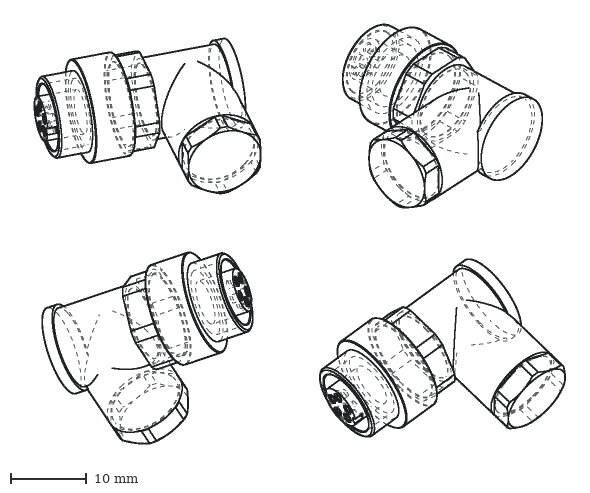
import cadquery as cq
import math


BODY_DIA = 11.0
CAP_DIA = 12.0
CAP_LENGTH = 1.48
CAP_END_Y = 6.0

GROOVE_LENGTH = 0.1
GROOVE_DIA = 9.8

HEX_FLATS = 12.0
HEX_CORNER_DIA = 12.98
HEX_LENGTH = 3.35
HEX_REAR_Y = -6.05
MAIN_HEX_TURN = 0

NECK_DIA = 11.45
NECK_LENGTH = 0.15

COLLAR_DIA = 14.0
COLLAR_LENGTH = 5.5
COLLAR_CHAMFER = 0.1

SLEEVE_DIA = BODY_DIA
SLEEVE_LENGTH = 4.5
SLEEVE_CHAMFER = 0.25
BORE_DIA = 9
BORE_DEPTH = SLEEVE_LENGTH
BORE_CHAMFER = 0.1

INSERT_DIA = 6.0
OVERALL_LENGTH = 26.5
KEYWAY_RADIUS = 0.53
KEYWAY_DEPTH = 1.32
CONTACT_COUNT = 5
CONTACT_CIRCLE_RADIUS = 1.72
FIRST_CONTACT_ANGLE = 180
CONTACT_DIA = 1.09
CONTACT_MOUTH_DIA = 1.4
CONTACT_DEPTH = 1.32

BRANCH_DIA = BODY_DIA
BRANCH_END_X = 13.1
NUT_END_X = 16.0
NUT_FLATS = 10.0
NUT_CORNER_DIA = BRANCH_DIA
NUT_BEVEL_ANGLE = 30
NUT_TURN = 30

BARREL_END_Y = HEX_REAR_Y + GROOVE_LENGTH
HEX_FRONT_Y = HEX_REAR_Y - HEX_LENGTH
COLLAR_REAR_Y = HEX_FRONT_Y - NECK_LENGTH
COLLAR_FRONT_Y = COLLAR_REAR_Y - COLLAR_LENGTH
SLEEVE_END_Y = COLLAR_FRONT_Y - SLEEVE_LENGTH
INSERT_END_Y = CAP_END_Y - OVERALL_LENGTH
NUT_START_X = BRANCH_END_X + GROOVE_LENGTH


def plane_at_y(y):
    """Plane facing -Y, with its local x along +X and its local y along +Z."""
    return cq.Workplane("XZ", origin=(0, y, 0))


def plane_at_x(x):
    """Plane facing +X, with its local x along +Y and its local y along +Z."""
    return cq.Workplane("YZ", origin=(x, 0, 0))


def cylinder(plane, diameter, length):
    return plane.circle(diameter / 2).extrude(length)


def trimmed_hex(plane, flats, corner_dia, length, turn):
    """Hexagonal prism whose corners are turned down to a cylinder.

    At zero turn two opposite corners lie on the plane's local x axis.
    """
    across_corners = flats / math.cos(math.radians(30))
    prism = plane.transformed(rotate=(0, 0, turn)).polygon(6, across_corners).extrude(length)
    return prism.intersect(cylinder(plane, corner_dia, length))


def main_body():
    cap = cylinder(plane_at_y(CAP_END_Y), CAP_DIA, CAP_LENGTH)
    barrel = cylinder(plane_at_y(CAP_END_Y), BODY_DIA, CAP_END_Y - BARREL_END_Y)
    groove = cylinder(plane_at_y(BARREL_END_Y), GROOVE_DIA, GROOVE_LENGTH)
    grip = trimmed_hex(plane_at_y(HEX_REAR_Y), HEX_FLATS, HEX_CORNER_DIA, HEX_LENGTH, MAIN_HEX_TURN)
    neck = cylinder(plane_at_y(HEX_FRONT_Y), NECK_DIA, NECK_LENGTH)
    return cap.union(barrel).union(groove).union(grip).union(neck)


def coupling():
    collar = cylinder(plane_at_y(COLLAR_REAR_Y), COLLAR_DIA, COLLAR_LENGTH)
    collar = collar.edges().chamfer(COLLAR_CHAMFER)
    sleeve = cylinder(plane_at_y(COLLAR_FRONT_Y), SLEEVE_DIA, SLEEVE_LENGTH)
    sleeve = sleeve.faces("<Y").edges().chamfer(SLEEVE_CHAMFER)
    bore = cylinder(plane_at_y(SLEEVE_END_Y + BORE_DEPTH), BORE_DIA, BORE_DEPTH)
    bore_mouth = (
        plane_at_y(SLEEVE_END_Y)
        .circle(BORE_DIA / 2 + BORE_CHAMFER)
        .extrude(-BORE_CHAMFER, taper=45)
    )
    return collar.union(sleeve).cut(bore).cut(bore_mouth)


def contact_insert():
    root_y = SLEEVE_END_Y + BORE_DEPTH
    contacts = (
        plane_at_y(INSERT_END_Y)
        .polarArray(CONTACT_CIRCLE_RADIUS, FIRST_CONTACT_ANGLE, 360, CONTACT_COUNT)
        .circle(CONTACT_DIA / 2)
        .extrude(-CONTACT_DEPTH)
    )
    insert = cylinder(plane_at_y(root_y), INSERT_DIA, root_y - INSERT_END_Y).cut(contacts)
    contact_mouths = insert.faces("<Y").edges(cq.selectors.RadiusNthSelector(0))
    insert = contact_mouths.chamfer((CONTACT_MOUTH_DIA - CONTACT_DIA) / 2)
    keyway_plane = plane_at_y(INSERT_END_Y).center(INSERT_DIA / 2, 0)
    return insert.cut(keyway_plane.circle(KEYWAY_RADIUS).extrude(-KEYWAY_DEPTH))


def cable_branch():
    barrel = cylinder(plane_at_x(0), BRANCH_DIA, BRANCH_END_X)
    groove = cylinder(plane_at_x(BRANCH_END_X), GROOVE_DIA, GROOVE_LENGTH)
    return barrel.union(groove)


def gland_nut():
    """Hex nut whose end corners are bevelled down to the width across flats."""
    length = NUT_END_X - NUT_START_X
    nut = trimmed_hex(plane_at_x(NUT_START_X), NUT_FLATS, NUT_CORNER_DIA, length, NUT_TURN)
    end_radius = NUT_FLATS / 2
    root_radius = end_radius + length / math.tan(math.radians(NUT_BEVEL_ANGLE))
    bevel_cone = (
        cq.Workplane("XY")
        .polyline([(NUT_START_X, 0), (NUT_START_X, root_radius), (NUT_END_X, end_radius), (NUT_END_X, 0)])
        .close()
        .revolve(360, (0, 0), (1, 0))
    )
    return nut.intersect(bevel_cone)


result = main_body().union(cable_branch()).union(gland_nut()).union(coupling()).union(contact_insert())